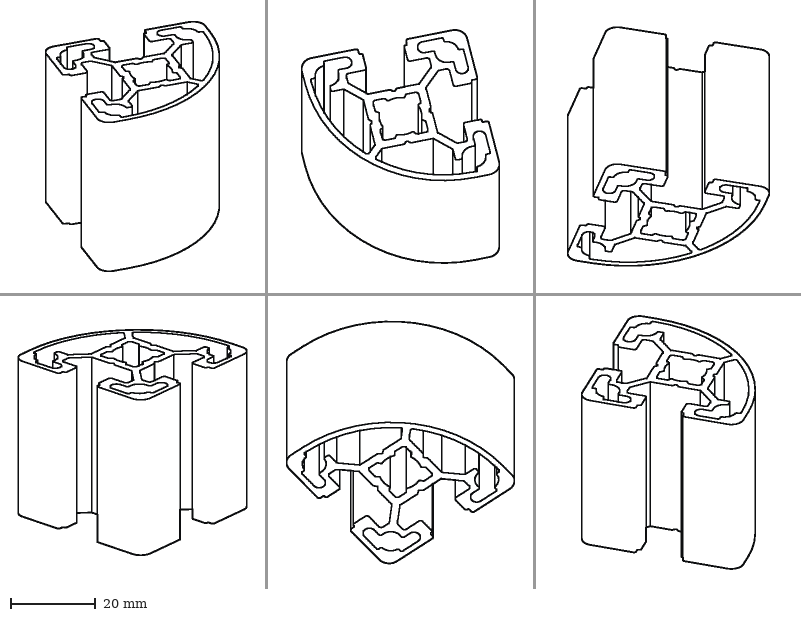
import cadquery as cq
import math

SIZE = 40.0
HALF = SIZE / 2
CORNER_RADIUS = 3.0
WALL = 1.5
INNER_FACE = HALF - WALL

ROUND_CENTRE = -13.4
ROUND_RADIUS = HALF - ROUND_CENTRE
ROUND_INNER_RADIUS = ROUND_RADIUS - WALL

MOUTH_HALF = 5.8
THROAT_HALF = 5.0
LIP_DEPTH = 6.0
LIP_BACK = HALF - LIP_DEPTH
CHAMBER_HALF = 10.1

CORE_HALF = 7.55
BORE_HALF = 5.5
WEB_THICKNESS = 1.9
WEB_OFFSET = WEB_THICKNESS / math.sqrt(2)
GROOVE_RADIUS = 0.5
GROOVE_HALF = 0.8

PAD_CIRCLE_RADIUS = 5.05
PAD_BASE_HALF = 2.6
PAD_TIP_HALF = 1.95

CHANNEL_CENTRE = 14.5
CHANNEL_RADIUS = 2.8
CHANNEL_NEAR = CHANNEL_CENTRE - CHANNEL_RADIUS
CHANNEL_FAR = CHANNEL_CENTRE + CHANNEL_RADIUS
LEG_END = 8.0
LEG_WIDTH = 3.0
LEG_INNER = INNER_FACE - LEG_WIDTH
LEG_STRAIGHT_END = LEG_END + LEG_WIDTH / 2
LEG_MIDDLE = INNER_FACE - LEG_WIDTH / 2

FINE_RADIUS = 0.3
SMALL_RADIUS = 0.4
LIP_BACK_RADIUS = 0.6
MOUTH_RADIUS = 0.55
SLOT_CORNER_RADIUS = 0.7
BORE_CORNER_RADIUS = 0.7
WEB_TIP_RADIUS = 0.55

DIAGONAL = math.sqrt(0.5)
CHANNEL_REACH = CHANNEL_RADIUS * DIAGONAL


def mirrored(shape):
    """Reflect a shape across the plane x = y."""
    return shape.rotate((0, 0, 0), (0, 0, 1), 90).mirror("YZ")


def round_edges(body, points, radius):
    """Fillet the vertical edges that pass through the given (x, y) points."""
    edges = body.edges("|Z")
    picked = [edges.edges(cq.selectors.NearestToPointSelector((x, y, SIZE / 2))).val() for x, y in points]
    return body.newObject(picked).fillet(radius)


def with_swaps(points):
    """Add the reflection of each point across the line x = y."""
    return points + [(y, x) for x, y in points]


def both_sides(points):
    """Add the reflection of each point across the X axis."""
    return points + [(x, -y) for x, y in points]


def make_blank():
    """Solid quarter-round block with rounded corners."""
    round_middle = ROUND_CENTRE + ROUND_RADIUS * DIAGONAL
    blank = (
        cq.Workplane("XY")
        .moveTo(-HALF, -HALF)
        .lineTo(HALF, -HALF)
        .lineTo(HALF, ROUND_CENTRE)
        .threePointArc((round_middle, round_middle), (ROUND_CENTRE, HALF))
        .lineTo(-HALF, HALF)
        .close()
        .extrude(SIZE)
    )
    corners = [(-HALF, -HALF), (HALF, -HALF), (-HALF, HALF)]
    return round_edges(blank, corners, CORNER_RADIUS)


def make_side_slot():
    """Open slot on the -X side."""
    upper = [
        (-HALF, MOUTH_HALF),
        (-INNER_FACE, MOUTH_HALF),
        (-INNER_FACE, THROAT_HALF),
        (-LIP_BACK, THROAT_HALF),
        (-LIP_BACK, CHAMBER_HALF),
        (-CHAMBER_HALF - WEB_OFFSET, CHAMBER_HALF),
        (-CORE_HALF, CORE_HALF - WEB_OFFSET),
    ]
    lower = [(x, -y) for x, y in reversed(upper)]
    slot = cq.Workplane("XY").polyline(upper + lower).close().extrude(SIZE)
    slot = round_edges(slot, both_sides([(-INNER_FACE, MOUTH_HALF)]), FINE_RADIUS)
    chamber_corners = [(-LIP_BACK, CHAMBER_HALF), (-CHAMBER_HALF - WEB_OFFSET, CHAMBER_HALF)]
    return round_edges(slot, both_sides(chamber_corners), SLOT_CORNER_RADIUS)


def make_corner_hollow():
    """Closed hollow in the (-X, -Y) corner."""
    near_middle = -CHANNEL_CENTRE + CHANNEL_REACH
    far_middle = -CHANNEL_CENTRE - CHANNEL_REACH
    hollow = (
        cq.Workplane("XY")
        .moveTo(-INNER_FACE, -LEG_STRAIGHT_END)
        .threePointArc((-LEG_MIDDLE, -LEG_END), (-LEG_INNER, -LEG_STRAIGHT_END))
        .lineTo(-LEG_INNER, -CHANNEL_NEAR)
        .lineTo(-CHANNEL_CENTRE, -CHANNEL_NEAR)
        .threePointArc((near_middle, near_middle), (-CHANNEL_NEAR, -CHANNEL_CENTRE))
        .lineTo(-CHANNEL_NEAR, -LEG_INNER)
        .lineTo(-LEG_STRAIGHT_END, -LEG_INNER)
        .threePointArc((-LEG_END, -LEG_MIDDLE), (-LEG_STRAIGHT_END, -INNER_FACE))
        .lineTo(-CHANNEL_CENTRE, -INNER_FACE)
        .lineTo(-CHANNEL_CENTRE, -CHANNEL_FAR)
        .threePointArc((far_middle, far_middle), (-CHANNEL_FAR, -CHANNEL_CENTRE))
        .lineTo(-INNER_FACE, -CHANNEL_CENTRE)
        .close()
        .extrude(SIZE)
    )
    rounded = with_swaps([
        (-LEG_INNER, -CHANNEL_NEAR),
        (-CHANNEL_CENTRE, -INNER_FACE),
        (-CHANNEL_CENTRE, -CHANNEL_FAR),
    ])
    return round_edges(hollow, rounded, SMALL_RADIUS)


def make_round_side_hollow():
    """Closed hollow between the tube, the (-X, +Y) corner and the round side."""
    half_web = WEB_THICKNESS / 2
    reach = math.sqrt(ROUND_INNER_RADIUS ** 2 - half_web ** 2)
    tip_x = ROUND_CENTRE + (reach - half_web) * DIAGONAL
    tip_y = ROUND_CENTRE + (reach + half_web) * DIAGONAL
    middle_angle = math.radians(67.5)
    skin_middle = (
        ROUND_CENTRE + ROUND_INNER_RADIUS * math.cos(middle_angle),
        ROUND_CENTRE + ROUND_INNER_RADIUS * math.sin(middle_angle),
    )
    near_middle = (-CHANNEL_CENTRE + CHANNEL_REACH, CHANNEL_CENTRE - CHANNEL_REACH)
    far_middle = (-CHANNEL_CENTRE - CHANNEL_REACH, CHANNEL_CENTRE + CHANNEL_REACH)
    hollow = (
        cq.Workplane("XY")
        .moveTo(-INNER_FACE, LEG_STRAIGHT_END)
        .threePointArc((-LEG_MIDDLE, LEG_END), (-LEG_INNER, LEG_STRAIGHT_END))
        .lineTo(-LEG_INNER, CHANNEL_NEAR)
        .lineTo(-CHANNEL_CENTRE, CHANNEL_NEAR)
        .threePointArc(near_middle, (-CHANNEL_NEAR, CHANNEL_CENTRE))
        .lineTo(-CHAMBER_HALF, CHANNEL_CENTRE)
        .lineTo(-CHAMBER_HALF, CHAMBER_HALF + WEB_OFFSET)
        .lineTo(-CORE_HALF + WEB_OFFSET, CORE_HALF)
        .lineTo(CORE_HALF - WEB_OFFSET, CORE_HALF)
        .lineTo(tip_x, tip_y)
        .threePointArc(skin_middle, (ROUND_CENTRE, INNER_FACE))
        .lineTo(-CHANNEL_CENTRE, INNER_FACE)
        .lineTo(-CHANNEL_CENTRE, CHANNEL_FAR)
        .threePointArc(far_middle, (-CHANNEL_FAR, CHANNEL_CENTRE))
        .lineTo(-INNER_FACE, CHANNEL_CENTRE)
        .close()
        .extrude(SIZE)
    )
    rounded = [
        (-LEG_INNER, CHANNEL_NEAR),
        (-CHANNEL_NEAR, CHANNEL_CENTRE),
        (-CHAMBER_HALF, CHANNEL_CENTRE),
        (-CHANNEL_CENTRE, INNER_FACE),
        (-CHANNEL_CENTRE, CHANNEL_FAR),
        (-CHANNEL_FAR, CHANNEL_CENTRE),
        (-INNER_FACE, CHANNEL_CENTRE),
    ]
    hollow = round_edges(hollow, rounded, SMALL_RADIUS)
    return round_edges(hollow, [(tip_x, tip_y)], WEB_TIP_RADIUS)


def make_bore():
    """Square bore of the tube, narrowed by a concave pad on each wall."""
    bore = cq.Workplane("XY").rect(2 * BORE_HALF, 2 * BORE_HALF).extrude(SIZE)
    bore = bore.edges("|Z").fillet(BORE_CORNER_RADIUS)
    tip_y = math.sqrt(PAD_CIRCLE_RADIUS ** 2 - PAD_TIP_HALF ** 2)
    pad = (
        cq.Workplane("XY")
        .moveTo(-PAD_BASE_HALF, BORE_HALF)
        .lineTo(-PAD_TIP_HALF, tip_y)
        .threePointArc((0, PAD_CIRCLE_RADIUS), (PAD_TIP_HALF, tip_y))
        .lineTo(PAD_BASE_HALF, BORE_HALF)
        .close()
        .extrude(SIZE)
    )
    pad = round_edges(pad, [(-PAD_TIP_HALF, tip_y), (PAD_TIP_HALF, tip_y)], FINE_RADIUS)
    for turn in range(4):
        bore = bore.cut(pad.rotate((0, 0, 0), (0, 0, 1), 90 * turn))
    pad_bases = [(x, y) for x in (-PAD_BASE_HALF, PAD_BASE_HALF) for y in (-BORE_HALF, BORE_HALF)]
    return round_edges(bore, with_swaps(pad_bases), FINE_RADIUS)


def cut_grooves(body):
    """V groove with a round bottom and soft edges along the middle of each outer face of the tube."""
    bottom = (0, CORE_HALF - GROOVE_HALF)
    groove = (
        cq.Workplane("XY")
        .polyline([(-GROOVE_HALF, CORE_HALF), bottom, (GROOVE_HALF, CORE_HALF)])
        .close()
        .extrude(SIZE)
    )
    groove = round_edges(groove, [bottom], GROOVE_RADIUS)
    for turn in range(4):
        body = body.cut(groove.rotate((0, 0, 0), (0, 0, 1), 90 * turn))
    groove_edges = [(x, y) for x in (-GROOVE_HALF, GROOVE_HALF) for y in (-CORE_HALF, CORE_HALF)]
    return round_edges(body, with_swaps(groove_edges), FINE_RADIUS)


def round_lips(body):
    """Soften the lip edges on both sides of each slot."""
    lip_edges = [
        ((-HALF, MOUTH_HALF), MOUTH_RADIUS),
        ((-INNER_FACE, THROAT_HALF), SMALL_RADIUS),
        ((-LIP_BACK, THROAT_HALF), LIP_BACK_RADIUS),
    ]
    for edge, radius in lip_edges:
        body = round_edges(body, with_swaps(both_sides([edge])), radius)
    return body


side_slot = make_side_slot()
round_side_hollow = make_round_side_hollow()

result = make_blank()
for cutter in (
    side_slot,
    mirrored(side_slot),
    make_corner_hollow(),
    round_side_hollow,
    mirrored(round_side_hollow),
    make_bore(),
):
    result = result.cut(cutter)
result = round_lips(cut_grooves(result))